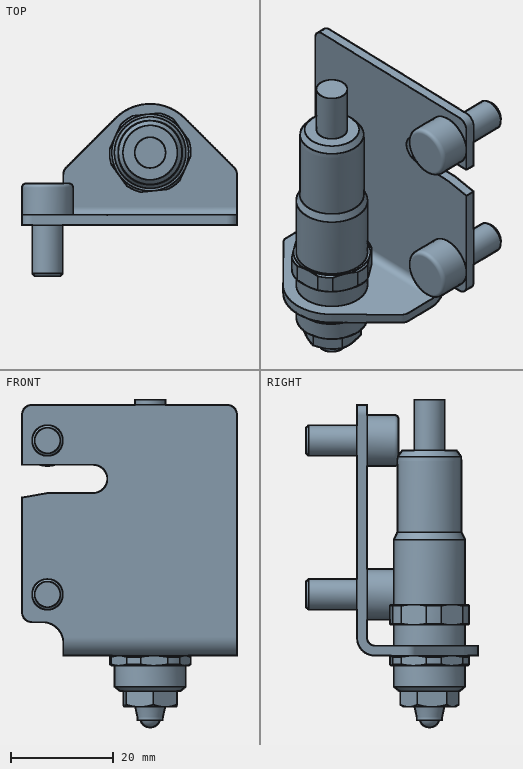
import cadquery as cq
import math


diagonal = math.sqrt(0.5)

sheet = 2.0
plate_left = -25.0
plate_right = 16.95
plate_top = 48.95
plate_tab_bottom = 6.5
corner_radius = 2.0
bend_radius = 3.5
relief_radius = 4.0
flange_half_width = plate_right
relief_x = -flange_half_width - relief_radius
relief_z = plate_tab_bottom - relief_radius
flange_tip_radius = 9.55
flange_corner_radius = 2.0

slot_width = 5.45
slot_center_z = 34.5
slot_end_x = -8.4
slot_flare_length = 5.1
slot_flare_angle = 10.0

screw_x = -20.0
upper_screw_z = 42.0
screw_spacing = 30.0
screw_heights = (upper_screw_z - screw_spacing, upper_screw_z)
head_radius = 5.0
head_length = 6.15
head_round = 0.8
shank_radius = 3.0
shank_reach = 10.0
shank_chamfer_length = 0.6
shank_chamfer_depth = 0.5

sensor_y = 14.15
rod_radius = 3.0
rod_top = 50.0
sleeve_radius = 6.3
sleeve_top = 40.05
sleeve_top_radius = 5.3
sleeve_chamfer_radius = 6.2
sleeve_chamfer_z = 38.85
sleeve_taper_z = 37.95
barrel_radius = 7.0
barrel_step_top = 24.1
barrel_step_bottom = 22.65
barrel_bottom = -6.9
barrel_chamfer_length = 0.9
barrel_chamfer_depth = 1.1
tip_cone_top_radius = 2.95
tip_cone_radius = 2.5
tip_cone_bottom = -12.0
tip_collar_bottom = -12.6
ball_radius = 2.0
tip_end = -14.0

end_hex_turn = 5.9
nut_turn = end_hex_turn + 30
nut_flats = 15.0
nut_corner_radius = 7.95
upper_nut_bottom = 6.0
upper_nut_height = 4.0
lower_nut_height = 1.9
end_hex_flats = 10.0
end_hex_height = 3.1
end_hex_bottom = barrel_bottom - end_hex_height
hex_chamfer_angle = 30
hex_chamfer_slope = math.tan(math.radians(hex_chamfer_angle))


def on_sensor_axis(z):
    """Horizontal workplane centred on the sensor axis at height z."""
    return cq.Workplane("XY", origin=(0, sensor_y, z))


def make_plate():
    slot_radius = slot_width / 2
    slot_top = slot_center_z + slot_radius
    slot_bottom = slot_center_z - slot_radius
    slot_arc_x = slot_end_x - slot_radius
    flare_drop = slot_flare_length * math.tan(math.radians(slot_flare_angle))

    plate = (
        cq.Workplane("XZ")
        .moveTo(plate_left, plate_top)
        .lineTo(plate_right, plate_top)
        .lineTo(plate_right, bend_radius)
        .lineTo(relief_x, bend_radius)
        .lineTo(relief_x, plate_tab_bottom)
        .lineTo(plate_left, plate_tab_bottom)
        .lineTo(plate_left, slot_bottom - flare_drop)
        .lineTo(plate_left + slot_flare_length, slot_bottom)
        .lineTo(slot_arc_x, slot_bottom)
        .threePointArc((slot_end_x, slot_center_z), (slot_arc_x, slot_top))
        .lineTo(plate_left, slot_top)
        .close()
        .extrude(-sheet)
    )
    outer_corners = (
        (plate_left, plate_top),
        (plate_right, plate_top),
        (plate_left, plate_tab_bottom),
    )
    for x, z in outer_corners:
        corner = cq.selectors.NearestToPointSelector((x, sheet / 2, z))
        plate = plate.edges("|Y").edges(corner).fillet(corner_radius)
    return plate


def make_bend():
    inner_radius = bend_radius - sheet
    outer_mid = bend_radius * (1 - diagonal)
    inner_mid = bend_radius - inner_radius * diagonal
    return (
        cq.Workplane("YZ", origin=(relief_x, 0, 0))
        .moveTo(0, bend_radius)
        .threePointArc((outer_mid, outer_mid), (bend_radius, 0))
        .lineTo(bend_radius, sheet)
        .threePointArc((inner_mid, inner_mid), (sheet, bend_radius))
        .close()
        .extrude(plate_right - relief_x)
    )


def make_relief():
    """Cutter for the round notch between the tab, the bend and the flange."""
    return (
        cq.Workplane("XZ")
        .moveTo(relief_x - relief_radius, 0)
        .lineTo(-flange_half_width, 0)
        .lineTo(-flange_half_width, relief_z)
        .threePointArc((relief_x, plate_tab_bottom), (relief_x - relief_radius, relief_z))
        .close()
        .extrude(-bend_radius)
    )


def make_flange():
    tangent = flange_tip_radius * diagonal
    tangent_y = sensor_y + tangent
    shoulder_y = tangent_y - (flange_half_width - tangent)
    flange = (
        cq.Workplane("XY")
        .moveTo(-flange_half_width, bend_radius)
        .lineTo(flange_half_width, bend_radius)
        .lineTo(flange_half_width, shoulder_y)
        .lineTo(tangent, tangent_y)
        .threePointArc((0, sensor_y + flange_tip_radius), (-tangent, tangent_y))
        .lineTo(-flange_half_width, shoulder_y)
        .close()
        .extrude(sheet)
    )
    for x in (-flange_half_width, flange_half_width):
        shoulder = cq.selectors.NearestToPointSelector((x, shoulder_y, sheet / 2))
        flange = flange.edges("|Z").edges(shoulder).fillet(flange_corner_radius)
    return flange


def make_bracket():
    screw_points = [(screw_x, z) for z in screw_heights]
    screw_holes = (
        cq.Workplane("XZ").pushPoints(screw_points).circle(shank_radius).extrude(-sheet)
    )
    sensor_hole = on_sensor_axis(0).circle(barrel_radius).extrude(sheet)
    bracket = make_plate().union(make_bend()).cut(make_relief()).union(make_flange())
    return bracket.cut(screw_holes).cut(sensor_hole)


def make_screw(z):
    head = (
        cq.Workplane("XZ", origin=(screw_x, sheet, z))
        .circle(head_radius)
        .extrude(-head_length)
        .faces(">Y")
        .edges()
        .fillet(head_round)
    )
    shank = (
        cq.Workplane("XZ", origin=(screw_x, sheet, z))
        .circle(shank_radius)
        .extrude(sheet + shank_reach)
        .faces("<Y")
        .edges()
        .chamfer(shank_chamfer_length, shank_chamfer_depth)
    )
    return head.union(shank)


def make_turned_core():
    """Rod, sleeve, barrel and ball tip as one revolved profile of (radius, z)."""
    barrel_chamfer_z = barrel_bottom + barrel_chamfer_length
    ball_center_z = tip_end + ball_radius
    ball_rim = math.sqrt(ball_radius**2 - (ball_center_z - tip_collar_bottom) ** 2)
    ball_mid = ball_radius * diagonal
    return (
        cq.Workplane("XZ", origin=(0, sensor_y, 0))
        .moveTo(0, rod_top)
        .lineTo(rod_radius, rod_top)
        .lineTo(rod_radius, sleeve_top)
        .lineTo(sleeve_top_radius, sleeve_top)
        .lineTo(sleeve_chamfer_radius, sleeve_chamfer_z)
        .lineTo(sleeve_radius, sleeve_taper_z)
        .lineTo(sleeve_radius, barrel_step_top)
        .lineTo(barrel_radius, barrel_step_bottom)
        .lineTo(barrel_radius, barrel_chamfer_z)
        .lineTo(barrel_radius - barrel_chamfer_depth, barrel_bottom)
        .lineTo(tip_cone_top_radius, barrel_bottom)
        .lineTo(tip_cone_top_radius, end_hex_bottom)
        .lineTo(tip_cone_radius, tip_cone_bottom)
        .lineTo(tip_cone_radius, tip_collar_bottom)
        .lineTo(ball_rim, tip_collar_bottom)
        .threePointArc((ball_mid, ball_center_z - ball_mid), (0, tip_end))
        .close()
        .revolve(360, (0, 0, 0), (0, 1, 0))
    )


def make_hexagon(flats, corner_radius_limit, bottom, height, turn, chamfered_faces):
    """Hexagon whose corners are trimmed by a cylinder with chamfered ends."""
    corner_depth = corner_radius_limit - flats / 2
    hexagon = (
        on_sensor_axis(bottom)
        .transformed(rotate=(0, 0, turn))
        .polygon(6, flats, circumscribed=True)
        .extrude(height)
    )
    trim = (
        on_sensor_axis(bottom)
        .circle(corner_radius_limit)
        .extrude(height)
        .faces(chamfered_faces)
        .edges()
        .chamfer(corner_depth * hex_chamfer_slope, corner_depth)
    )
    return hexagon.intersect(trim)


def make_sensor():
    end_hex_corner = end_hex_flats / math.sqrt(3)
    upper_nut = make_hexagon(
        nut_flats, nut_corner_radius, upper_nut_bottom, upper_nut_height, nut_turn, "|Z"
    )
    lower_nut = make_hexagon(
        nut_flats, nut_corner_radius, -lower_nut_height, lower_nut_height, nut_turn, "|Z"
    )
    end_hex = make_hexagon(
        end_hex_flats, end_hex_corner, end_hex_bottom, end_hex_height, end_hex_turn, "<Z"
    )
    return make_turned_core().union(upper_nut).union(lower_nut).union(end_hex)


bracket = make_bracket()
screws = [make_screw(z) for z in screw_heights]
sensor = make_sensor()

result = cq.Compound.makeCompound(
    [bracket.val(), *[screw.val() for screw in screws], sensor.val()]
)